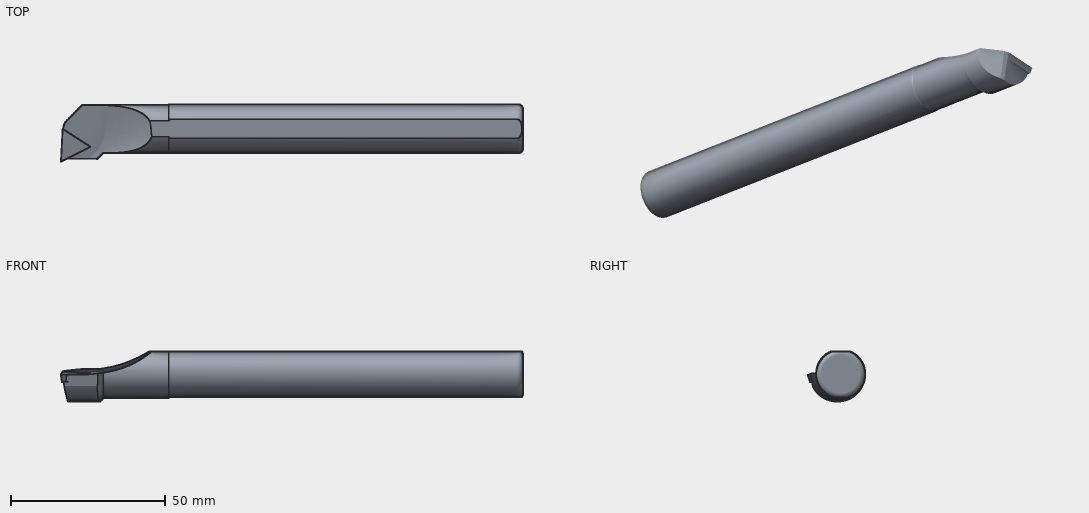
import cadquery as cq
import math


overall_length = 150.0
overall_width = 18.7
shank_diameter = 16.0
shank_radius = shank_diameter / 2
flats_width = 14.8
flat_height = flats_width / 2
shank_start = 35.4
shank_end_fillet = 1.8
neck_diameter = 15.7
neck_radius = neck_diameter / 2
step_length = 0.5
neck_end = shank_start - step_length

head_diameter = 17.8
head_radius = head_diameter / 2
head_offset = neck_radius - head_radius
head_reach = head_radius - head_offset
head_back = 11.7
head_back_end = head_back + head_reach - neck_radius
side_flat_y = -9.7
side_flat_length = 12.0
side_flat_angle = 10.0
front_relief_angle = 10.0
strip_relief_angle = 9.0
chamfer_relief_angle = 7.0
front_inset = 0.1
nose_y = 2.1
strip_y = 0.6
strip_turn = 23.0
chamfer_turn = 45.0

rake_height = 0.9
rake_angle = 6.0
gouge_center_x = 1.6
gouge_center_y = 0.7
gouge_floor_radius = 12.7
gouge_arc_radius = 28.5
gouge_start_angle = 7.0
gouge_end_angle = 50.0

insert_side = 10.8
insert_corner_angle = 60.0
insert_thickness = 2.4
insert_clearance = 7.0
insert_turn = 3.0
insert_tip_y = shank_radius - overall_width

cut_size = 4 * shank_diameter


def rake_z(y):
    return rake_height + y * math.tan(math.radians(rake_angle))


def rake_plane(x, y):
    tilt = math.radians(rake_angle)
    return cq.Plane(
        origin=(x, y, rake_z(y)),
        xDir=(1, 0, 0),
        normal=(0, -math.sin(tilt), math.cos(tilt)),
    )


def front_edge_x(y):
    return (y - insert_tip_y) * math.tan(math.radians(insert_turn))


def make_insert():
    """Equilateral insert, flush with the rake face and tapering downward."""
    front_angle = 90 - insert_turn
    inner_angle = front_angle - insert_corner_angle
    angles = [math.radians(inner_angle), math.radians(front_angle)]
    corners = [(insert_side * math.cos(a), insert_side * math.sin(a)) for a in angles]
    return (
        cq.Workplane(rake_plane(0, insert_tip_y))
        .polyline([(0, 0), *corners])
        .close()
        .extrude(-insert_thickness, taper=insert_clearance)
    )


def make_shank():
    """Shank with a lead-in cone, a rounded end and flats above and below."""
    shank = (
        cq.Workplane("XZ")
        .polyline([
            (neck_end, 0),
            (neck_end, neck_radius),
            (shank_start, shank_radius),
            (overall_length, shank_radius),
            (overall_length, 0),
        ])
        .close()
        .revolve(360, (0, 0, 0), (1, 0, 0))
        .faces(">X")
        .edges()
        .fillet(shank_end_fillet)
    )
    slab = cq.Workplane("XY").box(2 * overall_length, cut_size, flats_width)
    return shank.intersect(slab)


def make_neck():
    """Round neck with the flat on top only."""
    neck = cq.Workplane("YZ").circle(neck_radius).extrude(neck_end)
    above_flat = cq.Workplane("XY", origin=(0, 0, flat_height)).box(
        2 * neck_end, cut_size, cut_size, centered=(True, True, False)
    )
    return neck.cut(above_flat)


def make_head():
    """Offset cylinder bounded behind by a cone about the bar axis."""
    cylinder = (
        cq.Workplane("YZ").center(head_offset, 0).circle(head_radius).extrude(head_back_end)
    )
    envelope = (
        cq.Workplane("XZ")
        .polyline([
            (0, 0),
            (0, head_reach),
            (head_back, head_reach),
            (head_back_end, neck_radius),
            (head_back_end, 0),
        ])
        .close()
        .revolve(360, (0, 0, 0), (1, 0, 0))
    )
    return cylinder.intersect(envelope)


def side_flat_cut():
    block = cq.Workplane("XY").box(
        side_flat_length, cut_size, cut_size, centered=(False, False, True)
    )
    block = block.translate((0, -cut_size, 0))
    block = block.rotate((0, 0, 0), (1, 0, 0), side_flat_angle)
    return block.translate((0, side_flat_y, rake_z(side_flat_y)))


def front_relief_cut(x, y, turn, relief):
    """Half-space in front of a face through (x, y) that leans back below the rake face."""
    block = cq.Workplane("XY").box(
        cut_size, cut_size, cut_size, centered=(False, True, True)
    )
    block = block.translate((-cut_size, 0, 0))
    block = block.rotate((0, 0, 0), (0, 1, 0), -relief)
    block = block.rotate((0, 0, 0), (0, 0, 1), -turn)
    return block.translate((x, y, rake_z(y)))


def relieve_front(head):
    """Cut the front face, the narrow strip and the corner chamfer."""
    strip_x = front_edge_x(strip_y) + front_inset
    nose_x = strip_x + (nose_y - strip_y) * math.tan(math.radians(strip_turn))
    head = head.cut(front_relief_cut(strip_x, strip_y, insert_turn, front_relief_angle))
    head = head.cut(front_relief_cut(strip_x, strip_y, strip_turn, strip_relief_angle))
    return head.cut(front_relief_cut(nose_x, nose_y, chamfer_turn, chamfer_relief_angle))


def chip_gouge_cut():
    """Flat rake floor that curves upward around an axis normal to it."""
    def arc_point(degrees):
        angle = math.radians(degrees)
        start = math.radians(gouge_start_angle)
        radius = gouge_floor_radius + gouge_arc_radius * (math.sin(angle) - math.sin(start))
        height = gouge_arc_radius * (math.cos(start) - math.cos(angle))
        return radius, height

    end = arc_point(gouge_end_angle)
    middle = arc_point((gouge_start_angle + gouge_end_angle) / 2)
    base = rake_plane(gouge_center_x, gouge_center_y)
    section = cq.Plane(origin=base.origin, xDir=base.xDir, normal=-base.yDir)
    return (
        cq.Workplane(section)
        .lineTo(gouge_floor_radius, 0)
        .threePointArc(middle, end)
        .lineTo(0, end[1])
        .close()
        .revolve(360, (0, 0, 0), (0, 1, 0))
    )


def make_bar(insert):
    bar = make_neck().union(make_head()).union(make_shank())
    bar = bar.cut(side_flat_cut())
    bar = relieve_front(bar)
    bar = bar.cut(chip_gouge_cut())
    return bar.cut(insert)


insert = make_insert()
bar = make_bar(insert)

result = cq.Compound.makeCompound([bar.val(), insert.val()])